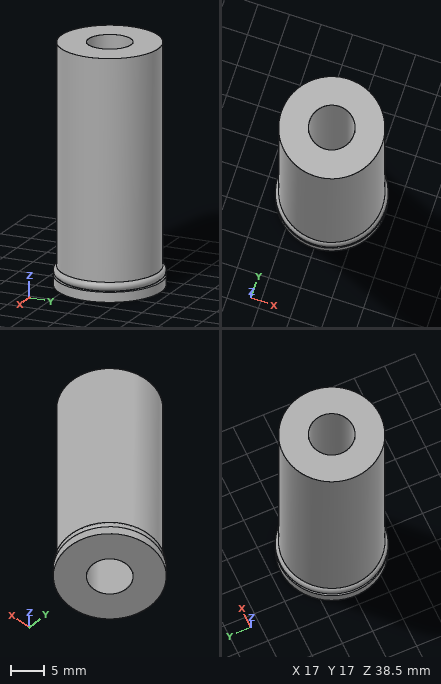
import cadquery as cq
import math

total_height = 38.5
body_diameter = 16.0
flange_diameter = 17.0
bore_diameter = 7.0
flange_height = 1.6
bead_radius = 0.75

body_radius = body_diameter / 2
flange_radius = flange_diameter / 2
bore_radius = bore_diameter / 2
bead_center_radius = flange_radius - bead_radius
bead_center_height = flange_height + bead_radius
bead_half_height = math.sqrt(bead_radius**2 - (body_radius - bead_center_radius) ** 2)

half_section = (
    cq.Workplane("XZ")
    .moveTo(bore_radius, 0)
    .lineTo(flange_radius, 0)
    .lineTo(flange_radius, flange_height)
    .lineTo(body_radius, flange_height)
    .lineTo(body_radius, bead_center_height - bead_half_height)
    .threePointArc(
        (flange_radius, bead_center_height),
        (body_radius, bead_center_height + bead_half_height),
    )
    .lineTo(body_radius, total_height)
    .lineTo(bore_radius, total_height)
    .close()
)

result = half_section.revolve(360, (0, 0, 0), (0, 1, 0))